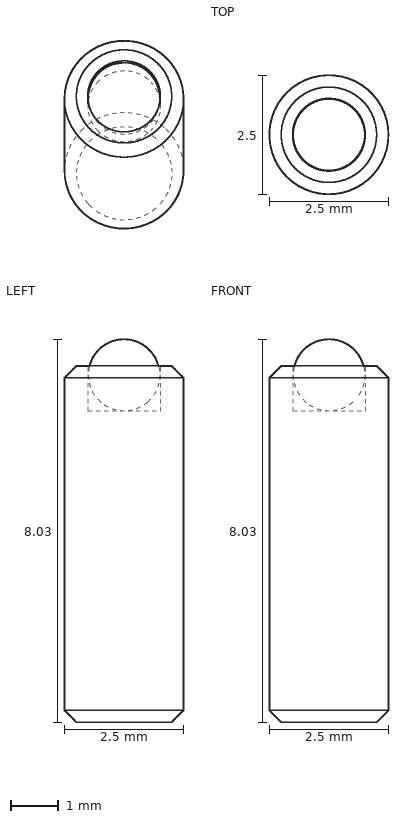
import cadquery as cq

housing_diameter = 2.5
total_height = 8.03
edge_chamfer = 0.25
ball_diameter = 1.5
ball_protrusion = 0.56
bore_diameter = 1.525

housing_height = total_height - ball_protrusion
bore_depth = ball_diameter - ball_protrusion
ball_center_height = total_height - ball_diameter / 2


def make_housing():
    """Round pin, chamfered at both ends, with a flat-bottomed bore in its top face."""
    pin = (
        cq.Workplane("XY")
        .circle(housing_diameter / 2)
        .extrude(housing_height)
        .faces("<Z or >Z")
        .chamfer(edge_chamfer)
    )
    return pin.faces(">Z").workplane().hole(bore_diameter, bore_depth)


def make_ball():
    """Ball resting on the bore floor and standing proud of the housing's top face."""
    return cq.Workplane("XY").sphere(ball_diameter / 2).translate((0, 0, ball_center_height))


housing = make_housing()
ball = make_ball()

result = cq.Compound.makeCompound([housing.val(), ball.val()])